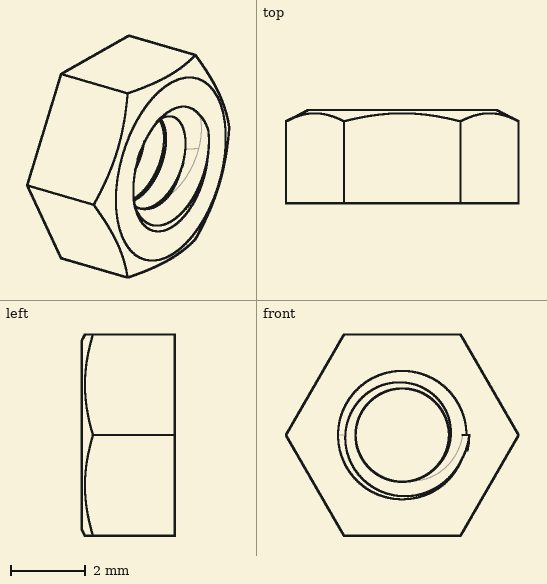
import cadquery as cq
import math

across_corners = 6.24
height = 2.5
corner_radius = across_corners / 2

chamfer_face_radius = 2.53
chamfer_drop = 0.305

bore_radius = 1.25
countersink_radius = 1.72
countersink_depth = countersink_radius - bore_radius

pitch = 0.705
groove_root_radius = 1.8
groove_mouth_radius = 1.205
half_flank_angle = math.radians(30)
thread_turns = math.ceil(height / pitch) + 1


def chamfered_hexagon():
    """Hexagonal prism along +Z with corners on the X axis, chamfered at its top."""
    prism = cq.Workplane("XY").polygon(6, across_corners).extrude(height)
    envelope = (
        cq.Workplane("XZ")
        .moveTo(0, 0)
        .lineTo(corner_radius, 0)
        .lineTo(corner_radius, height - chamfer_drop)
        .lineTo(chamfer_face_radius, height)
        .lineTo(0, height)
        .close()
        .revolve(360, (0, 0, 0), (0, 1, 0))
    )
    return prism.intersect(envelope)


def countersunk_bore():
    """Through bore that widens to a cone at both faces, with its seam on the -X side."""
    return (
        cq.Workplane("XZ")
        .moveTo(0, 0)
        .lineTo(-countersink_radius, 0)
        .lineTo(-bore_radius, countersink_depth)
        .lineTo(-bore_radius, height - countersink_depth)
        .lineTo(-countersink_radius, height)
        .lineTo(0, height)
        .close()
        .revolve(360, (0, 0, 0), (0, 1, 0))
    )


def thread_groove():
    """Helical V groove that starts on the +X side and runs out past the back face."""
    half_mouth = (groove_root_radius - groove_mouth_radius) * math.tan(half_flank_angle)
    helix = cq.Wire.makeHelix(pitch, pitch * thread_turns, bore_radius)
    return (
        cq.Workplane("XZ")
        .moveTo(groove_mouth_radius, -half_mouth)
        .lineTo(groove_root_radius, 0)
        .lineTo(groove_mouth_radius, half_mouth)
        .close()
        .sweep(cq.Workplane(helix), isFrenet=True)
    )


nut = chamfered_hexagon().cut(countersunk_bore()).cut(thread_groove())
result = nut.rotate((0, 0, 0), (1, 0, 0), -90)